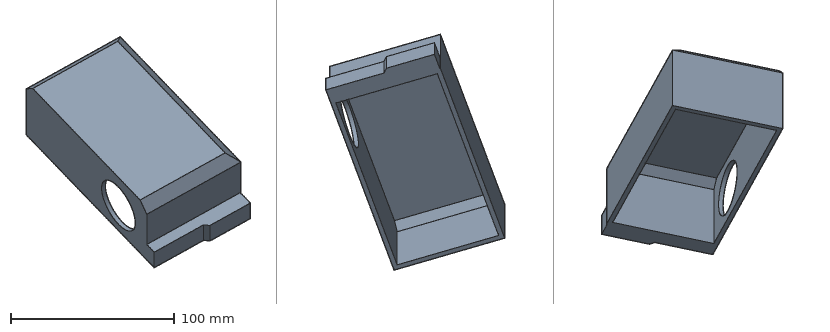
import cadquery as cq
import math

total_length = 136.0
body_length = 125.5
depth = 71.5
height = 50.0
bevel = 7.0
wall = 3.0
inner_bevel = bevel - wall * (2 - math.sqrt(2))

flange_height = 14.7
flange_back_gap = 0.4
flange_step = 2.7
step_start = 31.3

hole_diameter = 35.0
hole_x = 96.0
hole_z = 23.5


def beveled_block(x_min, x_max, y_min, y_max, top, edge_bevel):
    """Block on Z = 0 with bevels along its left, right and back top edges."""
    block = cq.Workplane("XY").box(
        x_max - x_min, y_max - y_min, top, centered=False
    ).translate((x_min, y_min, 0))
    return block.faces(">Z").edges("<X or >X or >Y").chamfer(edge_bevel)


def side_flange():
    """Solid flange, narrower towards the front with a 45 degree step."""
    back = depth - flange_back_gap
    step_y = depth - step_start
    narrow_length = total_length - flange_step
    outline = [
        (body_length - wall, 0),
        (narrow_length, 0),
        (narrow_length, step_y - flange_step),
        (total_length, step_y),
        (total_length, back),
        (body_length - wall, back),
    ]
    return cq.Workplane("XY").polyline(outline).close().extrude(flange_height)


def front_opening():
    """Cylinder that passes through the front wall only."""
    return (
        cq.Workplane("XZ")
        .center(hole_x, hole_z)
        .circle(hole_diameter / 2)
        .extrude(-2 * wall)
    )


outer = beveled_block(0, body_length, 0, depth, height, bevel)
cavity = beveled_block(wall, body_length - wall, wall, depth - wall, height - wall, inner_bevel)

result = outer.cut(cavity).union(side_flange()).cut(front_opening())